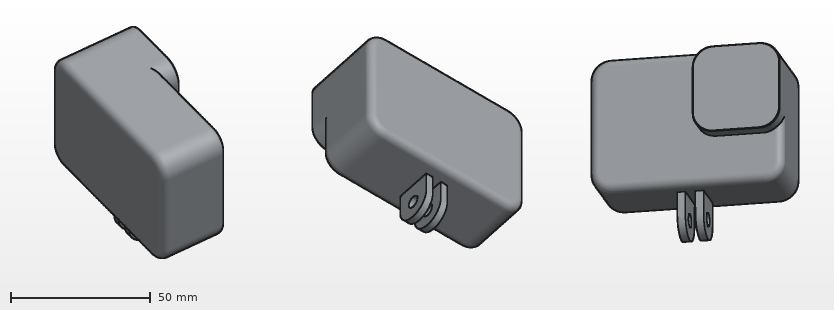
import cadquery as cq

body_width = 71.0
body_depth = 27.6
body_height = 50.0
corner_radius = 7.5
edge_fillet = 3.0

lens_size = 32.0
total_depth = 33.6
lens_chamfer = 0.3

finger_thickness = 3.0
finger_gap = 3.7
finger_width = 14.9
total_height = 66.0
pin_diameter = 5.0

finger_radius = finger_width / 2
finger_drop = total_height - body_height
pin_z = -finger_drop + finger_radius
mid_depth = body_depth / 2


def rounded_block(x, y, z, width, depth, height):
    """Block with its minimum corner at (x, y, z) and rounded edges along Y."""
    block = cq.Workplane("XY").box(width, depth, height, centered=False)
    return block.translate((x, y, z)).edges("|Y").fillet(corner_radius)


def make_body():
    body = rounded_block(-body_width / 2, 0, 0, body_width, body_depth, body_height)
    return body.faces("<Y or >Y").edges().fillet(edge_fillet)


def make_lens():
    lens = rounded_block(
        -body_width / 2,
        mid_depth,
        body_height - lens_size,
        lens_size,
        total_depth - mid_depth,
        lens_size,
    )
    return lens.faces(">Y").edges().chamfer(lens_chamfer)


def make_finger(x):
    """Round-ended finger with a pin hole, whose left face is at x."""
    return (
        cq.Workplane("YZ", origin=(x, mid_depth, 0))
        .moveTo(-finger_radius, edge_fillet)
        .lineTo(-finger_radius, pin_z)
        .threePointArc((0, -finger_drop), (finger_radius, pin_z))
        .lineTo(finger_radius, edge_fillet)
        .close()
        .moveTo(0, pin_z)
        .circle(pin_diameter / 2)
        .extrude(finger_thickness)
    )


result = make_body().union(make_lens())
for left_face in (-finger_gap / 2 - finger_thickness, finger_gap / 2):
    result = result.union(make_finger(left_face))